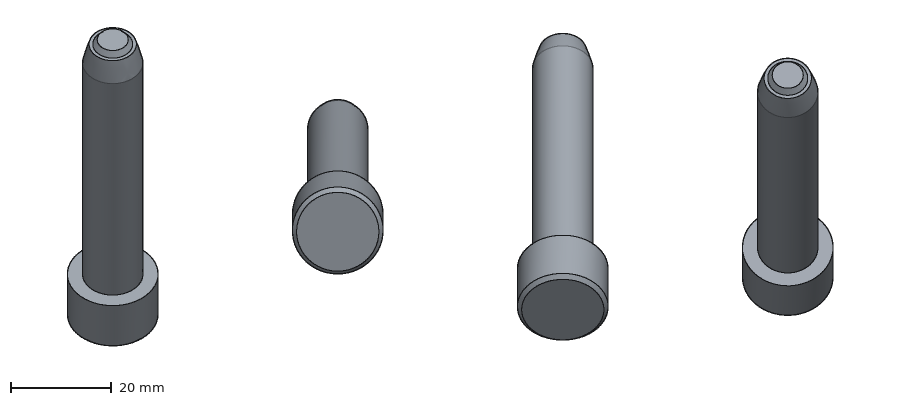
import cadquery as cq

total_length = 77.0
head_diameter = 18.0
head_height = 12.0
head_chamfer = 0.85
shank_diameter = 12.0

taper_length = 5.1
taper_end_diameter = 9.4
taper_bulge = 0.09
tip_base_diameter = 7.9
tip_end_diameter = 6.15
tip_height = 1.2

shank_radius = shank_diameter / 2
taper_end_radius = taper_end_diameter / 2
shoulder_z = total_length - tip_height
taper_start_z = shoulder_z - taper_length


def make_head():
    head = cq.Workplane("XY").circle(head_diameter / 2).extrude(head_height)
    return head.faces("<Z").edges().chamfer(head_chamfer)


def make_shank():
    """Revolve the half outline of the shank and nose about the Z axis."""
    taper_middle = (
        (shank_radius + taper_end_radius) / 2 + taper_bulge,
        (taper_start_z + shoulder_z) / 2,
    )
    return (
        cq.Workplane("XZ")
        .moveTo(0, head_height)
        .lineTo(shank_radius, head_height)
        .lineTo(shank_radius, taper_start_z)
        .threePointArc(taper_middle, (taper_end_radius, shoulder_z))
        .lineTo(tip_base_diameter / 2, shoulder_z)
        .lineTo(tip_end_diameter / 2, total_length)
        .lineTo(0, total_length)
        .close()
        .revolve(360, (0, 0, 0), (0, 1, 0))
    )


result = make_head().union(make_shank())